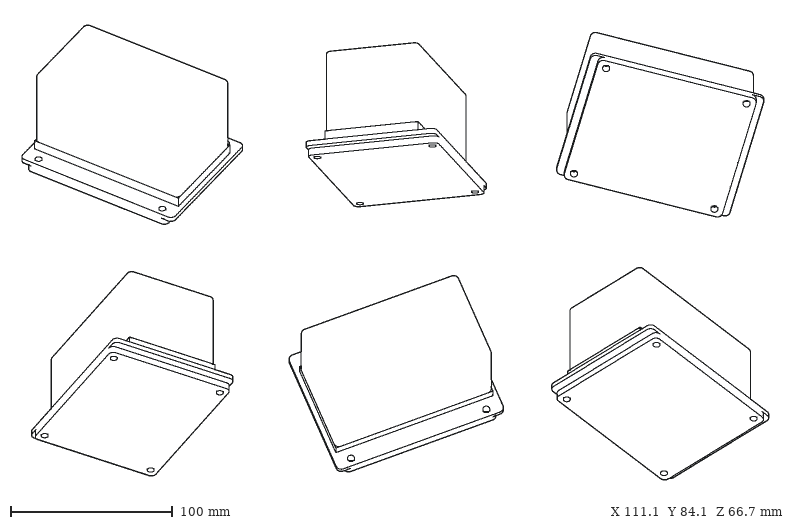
import cadquery as cq

flange_length = 111.1
flange_width = 84.1
flange_thickness = 3.2

foot_length = 101.3
foot_height = 4.6

cover_length = 104.6
cover_width = 60.1
collar_height = 6.6
total_height = 66.7
cover_top_radius = 1.7

corner_radius = 3.3

hole_diameter = 4.3
hole_spacing_x = 90.0
hole_spacing_y = 74.3

flange_top = foot_height + flange_thickness
collar_top = flange_top + collar_height
cover_height = total_height - collar_top


def block(length, width, height, bottom):
    """Square-cornered block centred on the Z axis, standing on the given level."""
    return cq.Workplane("XY").workplane(offset=bottom).rect(length, width).extrude(height)


def rounded_block(length, width, height, bottom):
    """Block with rounded vertical corners."""
    return block(length, width, height, bottom).edges("|Z").fillet(corner_radius)


def make_base():
    """Foot, flange and collar in one piece, with four mounting holes."""
    foot = rounded_block(foot_length, flange_width, foot_height, 0)
    flange = rounded_block(flange_length, flange_width, flange_thickness, foot_height)
    collar = block(cover_length, cover_width, collar_height, flange_top)
    holes = (
        cq.Workplane("XY")
        .rect(hole_spacing_x, hole_spacing_y, forConstruction=True)
        .vertices()
        .circle(hole_diameter / 2)
        .extrude(flange_top)
    )
    return foot.union(flange).union(collar).cut(holes)


def make_cover():
    """Rounded box resting on top of the collar."""
    box = rounded_block(cover_length, cover_width, cover_height, collar_top)
    return box.faces(">Z").edges().fillet(cover_top_radius)


base = make_base()
cover = make_cover()

result = cq.Compound.makeCompound([base.solids().val(), cover.solids().val()])